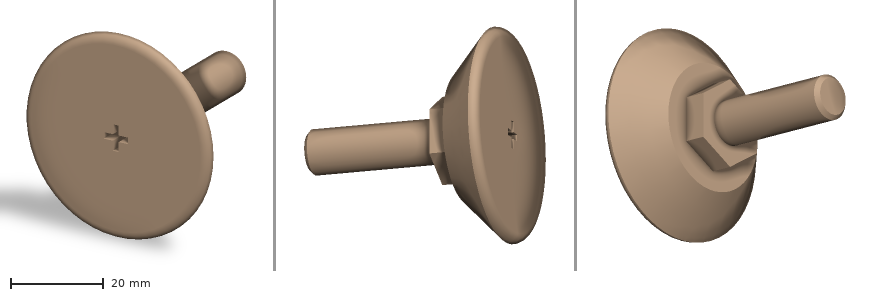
import cadquery as cq
import math

foot_radius = 23.5
rim_round = 2.0
neck_radius = 14.2
foot_height = 11.0
hex_across_flats = 17.0
hex_height = 5.0
stud_diameter = 10.0
stud_chamfer = 0.95
total_height = 46.0
cross_length = 6.1
cross_width = 1.5
cross_depth = 3.0


def make_foot():
    """Conical foot with a quarter-round rim, revolved about Y."""
    face_radius = foot_radius - rim_round
    arc_offset = rim_round * math.sqrt(0.5)
    arc_middle = (face_radius + arc_offset, rim_round - arc_offset)
    return (
        cq.Workplane("XY")
        .lineTo(face_radius, 0)
        .threePointArc(arc_middle, (foot_radius, rim_round))
        .lineTo(neck_radius, foot_height)
        .lineTo(0, foot_height)
        .close()
        .revolve(360, (0, 0), (0, 1))
    )


def plane_at(y):
    """Sketch plane at height y; negative extrusions run toward +Y."""
    return cq.Workplane("XZ", origin=(0, y, 0))


def make_hex():
    """Hexagon with corners on the Z axis and flats facing X."""
    across_corners = hex_across_flats / math.cos(math.pi / 6)
    return (
        plane_at(foot_height)
        .transformed(rotate=(0, 0, 90))
        .polygon(6, across_corners)
        .extrude(-hex_height)
    )


def make_stud():
    """Round stud with a chamfered free end."""
    stud_start = foot_height + hex_height
    stud = plane_at(stud_start).circle(stud_diameter / 2).extrude(stud_start - total_height)
    return stud.faces(">Y").chamfer(stud_chamfer)


def make_cross_recess():
    """Cross-shaped recess sunk into the contact face."""
    bar_x = plane_at(0).rect(cross_length, cross_width).extrude(-cross_depth)
    bar_z = plane_at(0).rect(cross_width, cross_length).extrude(-cross_depth)
    return bar_x.union(bar_z)


result = make_foot().union(make_hex()).union(make_stud()).cut(make_cross_recess())